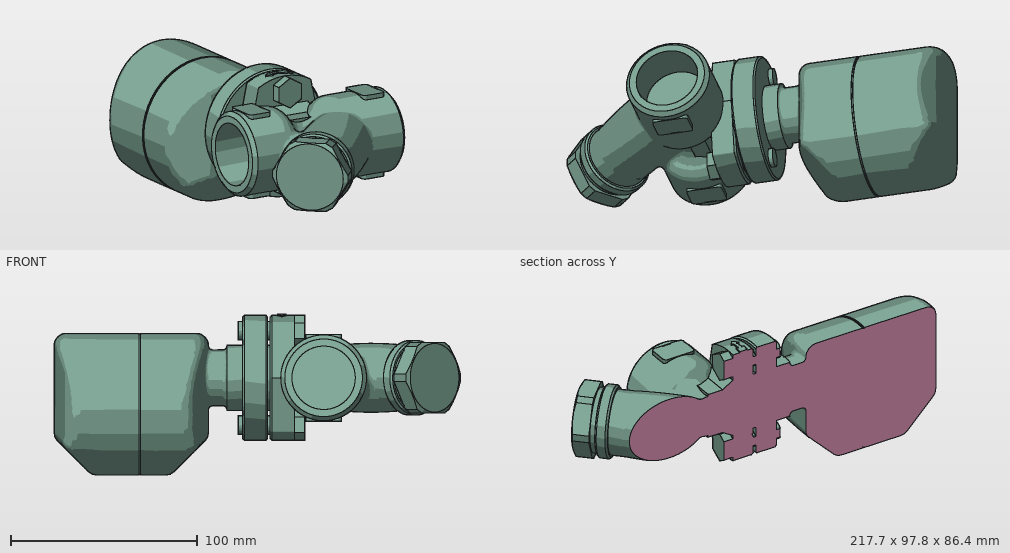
import cadquery as cq
import math


clearance = 2.2

head_diameter = 76.0
head_radius = head_diameter / 2
head_start_x = -144.4
head_end_x = -61.6
head_axis_z = -14.2
head_dome_radius = 74.0
head_bevel = 20.3
head_fillet = 6.5
groove_x = -98.5
groove_width = 0.9
groove_depth = 0.5

stem_diameter = 30.0
stem_end_x = -51.8
collar_diameter = 35.0
stem_fillet = 2.2

flange_diameter = 67.0
flange_start_x = -43.3
flange_end_x = -30.0
flange_edge = 0.9
body_flange_start_x = -28.7
body_flange_end_x = -15.7
body_flange_half_width = 22.6
body_flange_shoulder_y = 16.5
body_flange_chamfer = 1.0
body_flange_corner = 1.3
bolt_diameter = 10.0
bolt_circle_radius = 25.3
bolt_start_x = -45.7
nut_across_flats = 14.4
nut_height = 5.7

arrow_start_y = 7.8
arrow_tail_end_y = 0.7
arrow_head_y = -4.4
arrow_tip_y = -8.0
arrow_width = 4.8
arrow_stem_width = 2.2
arrow_notch = 1.7
arrow_x = -22.5
arrow_top_z = 34.2

pipe_diameter = 46.0
pipe_radius = pipe_diameter / 2
pipe_length = 96.0
pipe_middle_y = 5.0
pipe_end_chamfer = 2.2
pipe_bore_diameter = 34.0
pipe_bore_depth = 21.8
pipe_straight_y = 20.7
pipe_shoulder_radius = 11.0
pipe_shoulder_angle = 57
pad_length_x = 19.4
pad_length_y = 13.5
pad_end_distance = 12.2
pad_corner = 2.0
pad_face_z = 23.3

saddle_width = 29.2
saddle_flange_height = 34.8
saddle_step_x = -9.1
saddle_height = 27.0

branch_angle = 45
branch_crossing_y = 28.5
branch_start = 10.9
branch_start_radius = 17.5
branch_bulge_position = 37.0
branch_bulge_radius = 18.5
branch_bulge_end = 56.0
branch_radius = 17.9
ring_diameter = 40.0
ring_start = 64.2
ring_end = 71.2
ring_chamfer = 1.0
cap_start = 74.0
cap_end = 84.0
cap_across_flats = 38.0
cap_corner_distance = 20.7
cap_face_diameter = 36.8
cap_chamfer_height = 1.0
branch_fillet = 3.3


def rod_x(start_x, end_x, diameter, z=0):
    """Round bar along X."""
    plane = cq.Workplane("YZ", origin=(start_x, 0, z))
    return plane.circle(diameter / 2).extrude(end_x - start_x)


def make_head():
    """Horizontal cylinder trimmed by bowed end faces and two 45 degree bevels."""
    bottom_z = head_axis_z - head_radius
    top_z = head_axis_z + head_radius
    bow = head_dome_radius - math.sqrt(head_dome_radius**2 - head_radius**2)
    plan = (
        cq.Workplane("XY", origin=(0, 0, bottom_z))
        .moveTo(head_start_x + bow, head_radius)
        .threePointArc((head_start_x, 0), (head_start_x + bow, -head_radius))
        .lineTo(head_end_x - bow, -head_radius)
        .threePointArc((head_end_x, 0), (head_end_x - bow, head_radius))
        .close()
        .extrude(head_diameter)
    )
    side = (
        cq.Workplane("XZ", origin=(0, head_radius, 0))
        .moveTo(head_start_x, top_z)
        .lineTo(head_end_x, top_z)
        .lineTo(head_end_x, bottom_z + head_bevel)
        .lineTo(head_end_x - head_bevel, bottom_z)
        .lineTo(head_start_x + head_bevel, bottom_z)
        .lineTo(head_start_x, bottom_z + head_bevel)
        .close()
        .extrude(head_diameter)
    )
    head = rod_x(head_start_x, head_end_x, head_diameter, z=head_axis_z).intersect(plan).intersect(side)
    head = head.edges().fillet(head_fillet)
    groove = (
        cq.Workplane("YZ", origin=(groove_x - groove_width / 2, 0, head_axis_z))
        .circle(head_radius + clearance)
        .circle(head_radius - groove_depth)
        .extrude(groove_width)
    )
    return head.cut(groove)


def make_stem():
    """Stem from the middle of the head and the collar that meets the flange."""
    stem = rod_x((head_start_x + head_end_x) / 2, stem_end_x, stem_diameter)
    return stem.union(rod_x(stem_end_x, body_flange_start_x, collar_diameter))


def make_body_flange():
    """Round flange narrowed by four slanted side faces that meet at mid height."""
    edge_z = math.sqrt((flange_diameter / 2) ** 2 - body_flange_shoulder_y**2)
    reach = flange_diameter / 2 - edge_z + clearance
    slope = (body_flange_half_width - body_flange_shoulder_y) / edge_z
    tip_y = body_flange_shoulder_y - slope * reach
    tip_z = edge_z + reach
    length = body_flange_end_x - body_flange_start_x
    outline = [
        (body_flange_half_width, 0),
        (tip_y, tip_z),
        (-tip_y, tip_z),
        (-body_flange_half_width, 0),
        (-tip_y, -tip_z),
        (tip_y, -tip_z),
    ]
    block = cq.Workplane("YZ", origin=(body_flange_start_x, 0, 0)).polyline(outline).close().extrude(length)
    flange = block.intersect(rod_x(body_flange_start_x, body_flange_end_x, flange_diameter))
    middle_y = (body_flange_half_width + body_flange_shoulder_y) / 2
    corner_zone = cq.selectors.BoxSelector(
        (body_flange_start_x, -middle_y, -tip_z), (body_flange_end_x, middle_y, tip_z)
    )
    flange = flange.edges("|X").edges(corner_zone).fillet(body_flange_corner)
    return flange.faces("<X").edges().chamfer(body_flange_chamfer)


def make_bolt(z):
    """Bolt through both flanges with a hexagon nut, one nut corner pointing along Z."""
    bolt = rod_x(bolt_start_x, body_flange_end_x, bolt_diameter, z=z)
    nut = (
        cq.Workplane("YZ", origin=(body_flange_end_x, 0, z))
        .transformed(rotate=(0, 0, 90))
        .polygon(6, nut_across_flats / math.cos(math.pi / 6))
        .extrude(nut_height)
    )
    return bolt.union(nut)


def make_arrow():
    """Raised flow arrow with a notched tail, pointing to -Y."""
    half = arrow_width / 2
    stem = arrow_stem_width / 2
    outline = [
        (-half, arrow_start_y),
        (0, arrow_start_y - arrow_notch),
        (half, arrow_start_y),
        (half, arrow_tail_end_y),
        (stem, arrow_tail_end_y),
        (stem, arrow_head_y),
        (half, arrow_head_y),
        (0, arrow_tip_y),
        (-half, arrow_head_y),
        (-stem, arrow_head_y),
        (-stem, arrow_tail_end_y),
        (-half, arrow_tail_end_y),
    ]
    sunk_z = bolt_circle_radius
    arrow = cq.Workplane("XY", origin=(arrow_x, 0, sunk_z)).polyline(outline).close()
    return arrow.extrude(arrow_top_z - sunk_z).intersect(
        rod_x(body_flange_start_x, body_flange_end_x, 2 * arrow_top_z)
    )


def make_pipe():
    """Two pipe ends with chamfered rims, tapering to a waist between them."""
    end_y = pipe_middle_y + pipe_length / 2
    start_y = pipe_middle_y - pipe_length / 2
    rim = pipe_radius - pipe_end_chamfer
    shoulder_center = pipe_radius - pipe_shoulder_radius

    def shoulder_point(angle, side):
        """Point on the rounded shoulder, at an angle from its tangent to the straight pipe."""
        turn = math.radians(angle)
        radius = shoulder_center + pipe_shoulder_radius * math.cos(turn)
        return radius, side * (pipe_straight_y - pipe_shoulder_radius * math.sin(turn))

    shoulder_end_radius, shoulder_end_y = shoulder_point(pipe_shoulder_angle, 1)
    waist_drop = shoulder_end_y * math.tan(math.radians(pipe_shoulder_angle / 2))
    waist_radius = shoulder_end_radius - waist_drop
    return (
        cq.Workplane("XY")
        .moveTo(0, start_y)
        .lineTo(rim, start_y)
        .lineTo(pipe_radius, start_y + pipe_end_chamfer)
        .lineTo(pipe_radius, -pipe_straight_y)
        .threePointArc(shoulder_point(pipe_shoulder_angle / 2, -1), shoulder_point(pipe_shoulder_angle, -1))
        .threePointArc((waist_radius, 0), shoulder_point(pipe_shoulder_angle, 1))
        .threePointArc(shoulder_point(pipe_shoulder_angle / 2, 1), (pipe_radius, pipe_straight_y))
        .lineTo(pipe_radius, end_y - pipe_end_chamfer)
        .lineTo(rim, end_y)
        .lineTo(0, end_y)
        .close()
        .revolve(360, (0, 0, 0), (0, 1, 0))
    )


def make_pads():
    """Flat rounded pads above and below each pipe end."""
    offset = pipe_length / 2 - pad_end_distance
    pads = (
        cq.Workplane("XY", origin=(0, pipe_middle_y, -pad_face_z))
        .pushPoints([(0, offset), (0, -offset)])
        .rect(pad_length_x, pad_length_y)
        .extrude(2 * pad_face_z)
    )
    return pads.edges("|Z").fillet(pad_corner)


def make_pipe_bores():
    """Blind bores in both pipe ends."""
    half = pipe_length / 2
    mouth = cq.Workplane("XZ", origin=(0, pipe_middle_y + half, 0)).circle(pipe_bore_diameter / 2)
    bore = mouth.extrude(pipe_bore_depth)
    return bore.union(bore.translate((0, pipe_bore_depth - pipe_length, 0)))


def make_saddle():
    """Block from the body flange to the pipe axis, thicker beside the flange."""
    outline = [
        (body_flange_end_x, saddle_flange_height / 2),
        (saddle_step_x, saddle_height / 2),
        (0, saddle_height / 2),
        (0, -saddle_height / 2),
        (saddle_step_x, -saddle_height / 2),
        (body_flange_end_x, -saddle_flange_height / 2),
    ]
    saddle = cq.Workplane("XZ", origin=(0, saddle_width / 2, 0)).polyline(outline).close()
    return saddle.extrude(saddle_width)


def place_on_branch(shape):
    """Move a shape built along +X from the origin onto the branch axis."""
    turned = shape.rotate((0, 0, 0), (0, 0, 1), -branch_angle)
    return turned.translate((0, branch_crossing_y, 0))


def make_branch():
    """Branch with a slight bulge, straight from the bulge to the cap."""
    branch = (
        cq.Workplane("XY")
        .moveTo(branch_start, 0)
        .lineTo(branch_start, branch_start_radius)
        .threePointArc((branch_bulge_position, branch_bulge_radius), (branch_bulge_end, branch_radius))
        .lineTo(cap_start, branch_radius)
        .lineTo(cap_start, 0)
        .close()
        .revolve(360, (0, 0, 0), (1, 0, 0))
    )
    return place_on_branch(branch)


def make_ring():
    """Collar near the branch end."""
    ring = rod_x(ring_start, ring_end, ring_diameter).edges().chamfer(ring_chamfer)
    return place_on_branch(ring)


def make_cap():
    """Hexagon cap with flattened corners and a chamfered outer face, flats facing +Z and -Z."""
    height = cap_end - cap_start
    plane = cq.Workplane("YZ", origin=(cap_start, 0, 0))
    cap = plane.polygon(6, cap_across_flats / math.cos(math.pi / 6)).extrude(height)
    corner_cut = plane.transformed(rotate=(0, 0, 30)).polygon(
        6, 2 * cap_corner_distance / math.cos(math.pi / 6)
    )
    cap = cap.intersect(corner_cut.extrude(height))
    outer = 2 * cap_corner_distance + clearance
    face_radius = cap_face_diameter / 2
    chamfer_slope = cap_chamfer_height / (cap_corner_distance - face_radius)
    chamfer_drop = chamfer_slope * (outer / 2 - face_radius)
    profile = [
        (cap_start, 0),
        (cap_start, outer / 2),
        (cap_end - chamfer_drop, outer / 2),
        (cap_end, face_radius),
        (cap_end, 0),
    ]
    trim = cq.Workplane("XY").polyline(profile).close().revolve(360, (0, 0, 0), (1, 0, 0))
    return place_on_branch(cap.intersect(trim))


def make_casting():
    """Pipe and branch blended where they meet; the blended edges are the only free-form ones."""
    casting = make_pipe().union(make_branch())
    return casting.edges("not(%LINE or %CIRCLE)").fillet(branch_fillet)


def make_drive():
    """Head and stem with filleted stem ends."""
    drive = make_head().union(make_stem())
    reach = (stem_diameter + collar_diameter) / 4
    around_stem = cq.selectors.BoxSelector(
        (head_end_x - clearance, -reach, -reach), (stem_end_x + clearance, reach, reach), boundingbox=True
    )
    return drive.edges(around_stem).edges("not %LINE").fillet(stem_fillet)


flange = rod_x(flange_start_x, flange_end_x, flange_diameter).edges().chamfer(flange_edge)
body = make_casting().union(make_saddle()).union(make_body_flange()).union(make_pads())
body = body.union(make_arrow()).union(make_ring()).union(make_cap())
body = body.union(make_drive()).union(flange)
for bolt_z in (bolt_circle_radius, -bolt_circle_radius):
    body = body.union(make_bolt(bolt_z))
result = body.cut(make_pipe_bores())